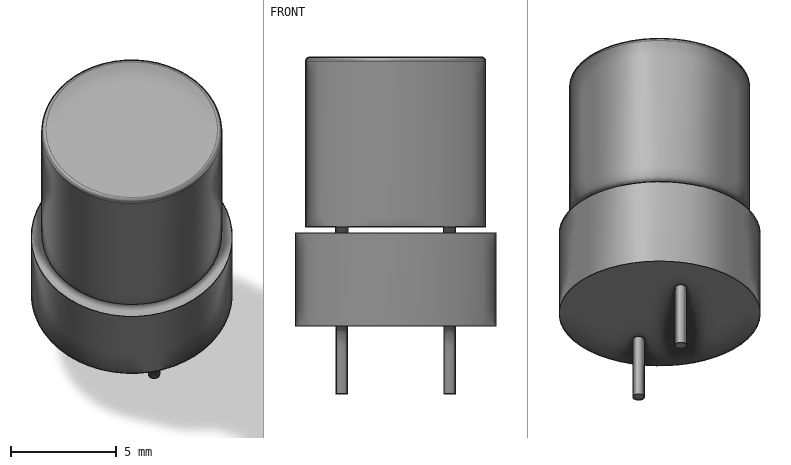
import cadquery as cq

total_height = 15.9
pin_length = 3.2
base_height = 4.4
lead_length = 0.29

base_diameter = 9.5
pin_diameter = 0.54

can_diameter = 8.5
can_edge_radius = 0.2
lead_diameter = 0.59
can_turn_angle = -2.6

pitch = 5.09

base_bottom = pin_length
base_top = base_bottom + base_height
can_bottom = base_top + lead_length
can_height = total_height - can_bottom


def cylinder(diameter, bottom, height):
    """Upright cylinder on the common axis."""
    return cq.Workplane("XY").workplane(offset=bottom).circle(diameter / 2).extrude(height)


def posts(diameter, bottom, height):
    """Pair of upright round posts, one pitch apart along X."""
    pair = cq.Workplane("XY").workplane(offset=bottom).rarray(pitch, 0.16, 2, 1)
    return pair.circle(diameter / 2).extrude(height)


def make_base():
    """Round base with two pins hanging below it."""
    body = cylinder(base_diameter, base_bottom, base_height)
    return body.union(posts(pin_diameter, 0, pin_length))


def make_can():
    """Can with a rounded top edge, standing on two short leads that rest on the base."""
    body = cylinder(can_diameter, can_bottom, can_height)
    body = body.faces(">Z").edges().fillet(can_edge_radius)
    body = body.union(posts(lead_diameter, base_top, lead_length))
    return body.rotate((0, 0, 0), (0, 0, 1), can_turn_angle)


base = make_base()
can = make_can()

result = cq.Compound.makeCompound([base.solids().val(), can.solids().val()])